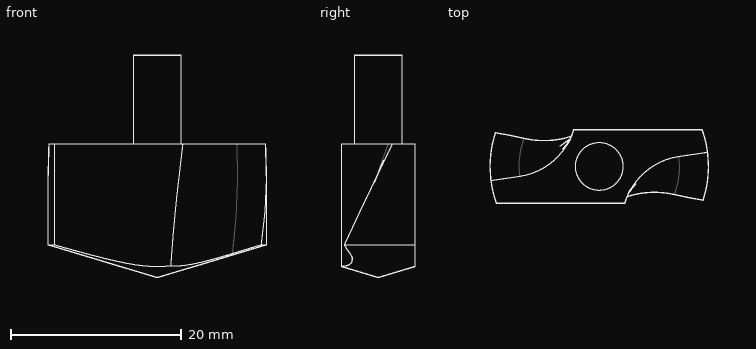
import cadquery as cq
import math

HEAD_DIAMETER = 25.65
WEB_THICKNESS = 8.67
TIP_HEIGHT = 3.85
BODY_HEIGHT = 11.85
SHANK_DIAMETER = 5.6
OVERALL_HEIGHT = 26.1

FLUTE_RADIUS = 7.8
FLUTE_CENTER_X = 10.48
FLUTE_CENTER_Y = -6.55
FACE_SLOPE = 8.3
TWIST_RATE = 2.15

HEAD_RADIUS = HEAD_DIAMETER / 2
SHOULDER_Z = TIP_HEIGHT + BODY_HEIGHT
CUT_MARGIN = 3.0


def make_head():
    """Pointed cylinder trimmed to a flat web of constant thickness."""
    pointed_cylinder = (
        cq.Workplane("XZ")
        .moveTo(0, 0)
        .lineTo(HEAD_RADIUS, TIP_HEIGHT)
        .lineTo(HEAD_RADIUS, SHOULDER_Z)
        .lineTo(0, SHOULDER_Z)
        .close()
        .revolve(360, (0, 0, 0), (0, 1, 0))
    )
    web = cq.Workplane("XY").box(
        HEAD_DIAMETER + CUT_MARGIN, WEB_THICKNESS, SHOULDER_Z, centered=(True, True, False)
    )
    return pointed_cylinder.intersect(web)


def flute_arc_point(angle):
    """Point on the flute arc at the given angle in degrees from +X."""
    return (
        FLUTE_CENTER_X + FLUTE_RADIUS * math.cos(math.radians(angle)),
        FLUTE_CENTER_Y + FLUTE_RADIUS * math.sin(math.radians(angle)),
    )


def make_flute_cutter():
    """Flute section (arc with a tangent straight face) twisted down past the tip."""
    tangent_angle = 90 + FACE_SLOPE
    arc_end_angle = 180
    arc_start = flute_arc_point(tangent_angle)
    arc_middle = flute_arc_point((tangent_angle + arc_end_angle) / 2)
    arc_end = flute_arc_point(arc_end_angle)

    outer_x = HEAD_RADIUS + CUT_MARGIN
    face_rise = (outer_x - arc_start[0]) * math.tan(math.radians(FACE_SLOPE))
    outer_y = FLUTE_CENTER_Y - CUT_MARGIN
    return (
        cq.Workplane("XY", origin=(0, 0, SHOULDER_Z))
        .moveTo(outer_x, arc_start[1] + face_rise)
        .lineTo(*arc_start)
        .threePointArc(arc_middle, arc_end)
        .lineTo(arc_end[0], outer_y)
        .lineTo(outer_x, outer_y)
        .close()
        .twistExtrude(-SHOULDER_Z, TWIST_RATE * SHOULDER_Z)
    )


def make_shank():
    return (
        cq.Workplane("XY", origin=(0, 0, SHOULDER_Z))
        .circle(SHANK_DIAMETER / 2)
        .extrude(OVERALL_HEIGHT - SHOULDER_Z)
    )


flute_cutter = make_flute_cutter()
head = make_head()
for flute_angle in (0, 180):
    head = head.cut(flute_cutter.rotate((0, 0, 0), (0, 0, 1), flute_angle))

result = head.union(make_shank())